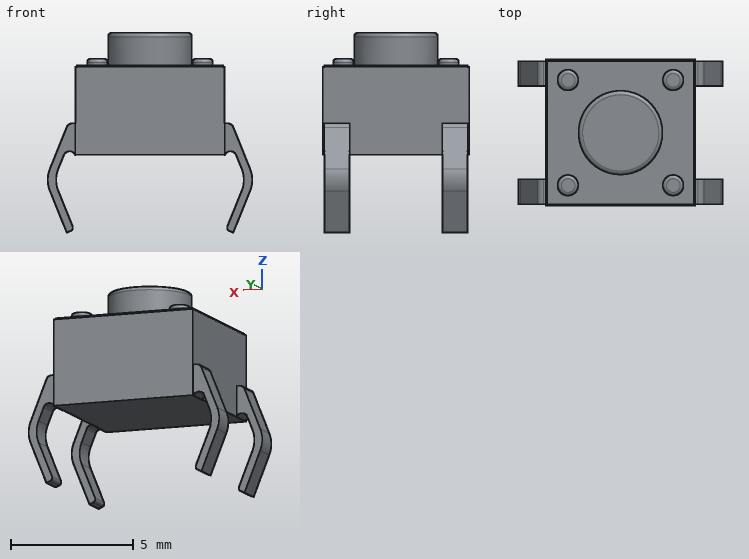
import cadquery as cq
import math

body_x = 6.11
body_y = 5.99
body_height = 3.6

cover_inset = 0.07
cover_thickness = 0.06
cover_top = body_height + cover_thickness

button_diameter = 3.43
button_height = 1.34
button_rounding = 0.16

rivet_diameter = 0.845
rivet_height = 0.28
rivet_rounding = 0.14
rivet_spacing = 4.3

lead_span = 8.37
lead_width = 1.03
lead_shift = 0.35
lead_top = 1.3
lead_bottom = -3.18
lead_outer_y = body_y / 2 - cover_inset
lean = math.radians(22)
knee_radius = 1.2
outer_face_x = lead_span / 2
inner_face_x = outer_face_x - lead_shift
knee_z = -1.02
shoulder_radius = 0.26
neck_radius = 0.25
neck_distance = 0.6
tip_radius = 0.15


def housing():
    block = cq.Workplane("XY").box(body_x, body_y, body_height, centered=(True, True, False))
    cover = (
        cq.Workplane("XY", origin=(0, 0, body_height))
        .rect(body_x - 2 * cover_inset, body_y - 2 * cover_inset)
        .extrude(cover_thickness)
    )
    return block.union(cover)


def rounded_disc(diameter, height, rounding):
    """Disc standing on the cover with its upper rim rounded."""
    disc = cq.Workplane("XY", origin=(0, 0, cover_top)).circle(diameter / 2).extrude(height)
    return disc.faces(">Z").edges().fillet(rounding)


def leg_point(face_x, distance, side):
    """Point on a straight leg of the lead, in XZ.

    face_x is where that face reaches farthest out, at the middle of the knee. The distance
    runs along the leg from the end of the knee; side is +1 for the upper leg, -1 for the lower.
    """
    x = face_x - knee_radius * (1 - math.cos(lean)) - distance * math.sin(lean)
    z = knee_z + side * (knee_radius * math.sin(lean) + distance * math.cos(lean))
    return (x, z)


def leg_length(rise):
    """Distance along a leg that ends this far above or below the middle of the knee."""
    return (rise - knee_radius * math.sin(lean)) / math.cos(lean)


def lead():
    """Lead on the +X, +Y corner, joined to the side of the block."""
    wall_x = body_x / 2
    lower_length = leg_length(knee_z - lead_bottom)
    shoulder = leg_point(outer_face_x, leg_length(lead_top - knee_z), 1)

    tip_inner = leg_point(inner_face_x, lower_length - lead_shift * math.sin(lean), -1)

    neck_start = leg_point(inner_face_x, neck_distance, 1)
    neck_x = neck_start[0] - neck_radius * math.cos(lean)
    neck_z = neck_start[1] - neck_radius * math.sin(lean)
    neck_end_z = neck_z + math.sqrt(neck_radius**2 - (neck_x - wall_x) ** 2)

    strip = (
        cq.Workplane("XZ", origin=(0, lead_outer_y, 0))
        .moveTo(wall_x, lead_top)
        .lineTo(*shoulder)
        .lineTo(*leg_point(outer_face_x, 0, 1))
        .threePointArc((outer_face_x, knee_z), leg_point(outer_face_x, 0, -1))
        .lineTo(*leg_point(outer_face_x, lower_length, -1))
        .lineTo(*tip_inner)
        .lineTo(*leg_point(inner_face_x, 0, -1))
        .threePointArc((inner_face_x, knee_z), leg_point(inner_face_x, 0, 1))
        .lineTo(*neck_start)
        .threePointArc((neck_x, neck_z + neck_radius), (wall_x, neck_end_z))
        .close()
        .extrude(lead_width)
    )

    def edge_at(point):
        mid_y = lead_outer_y - lead_width / 2
        return cq.selectors.NearestToPointSelector((point[0], mid_y, point[1]))

    strip = strip.edges(edge_at(shoulder)).fillet(shoulder_radius)
    return strip.edges(edge_at(tip_inner)).fillet(tip_radius)


result = housing()
result = result.union(rounded_disc(button_diameter, button_height, button_rounding))

rivet = rounded_disc(rivet_diameter, rivet_height, rivet_rounding)
corner_lead = lead()
for side_x in (-1, 1):
    for side_y in (-1, 1):
        rivet_place = (side_x * rivet_spacing / 2, side_y * rivet_spacing / 2, 0)
        result = result.union(rivet.translate(rivet_place))
        placed_lead = corner_lead
        if side_x < 0:
            placed_lead = placed_lead.mirror("YZ")
        if side_y < 0:
            placed_lead = placed_lead.mirror("XZ")
        result = result.union(placed_lead)